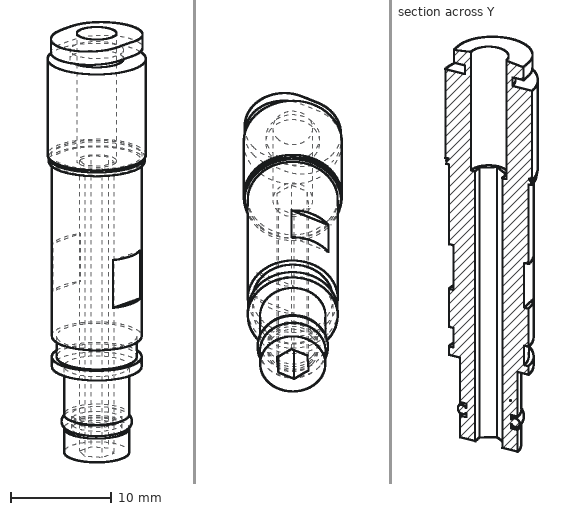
import cadquery as cq

TOTAL_HEIGHT = 43.95
SEAL_GROOVE_BOTTOM = 2.5
SEAL_GROOVE_TOP = 3.95
COLLAR_BOTTOM = 9.0
COLLAR_TOP = 10.0
BODY_BOTTOM = 12.17
FLAT_BOTTOM = 16.53
FLAT_TOP = 21.55
RING_BOTTOM = 30.55
SLEEVE_BOTTOM = 31.2
SLEEVE_TOP = 41.25
CAP_BOTTOM = 42.2

STEM_RADIUS = 3.25
SEAL_GROOVE_RADIUS = 2.5
SEAL_OUTER_RADIUS = 3.5
SEAL_SECTION_RADIUS = 0.53
BODY_RADIUS = 4.5
BODY_GROOVE_RADIUS = 4.0
RING_RADIUS = 4.8
RING_CHAMFER = 0.25
SLEEVE_DIAMETER = 9.8
SLEEVE_RADIUS = SLEEVE_DIAMETER / 2
NECK_RADIUS = 2.7

FLAT_TO_AXIS = 4.0
CAP_HALF_WIDTH = 3.9
CAP_END_OFFSET = SLEEVE_RADIUS - CAP_HALF_WIDTH
CAP_CONE_DROP = 0.4
BORE_RADIUS = 1.98
BORE_FLOOR = RING_BOTTOM
HEX_ACROSS_FLATS = 3.05


def cylinder(radius, bottom, top):
    """Solid cylinder on the Z axis between two levels."""
    return cq.Workplane("XY").workplane(offset=bottom).circle(radius).extrude(top - bottom)


def make_stepped_body():
    """Stem, collar, barrel, chamfered ring, sleeve and neck stacked on one axis."""
    sections = [
        (STEM_RADIUS, 0, SEAL_GROOVE_BOTTOM),
        (SEAL_GROOVE_RADIUS, SEAL_GROOVE_BOTTOM, SEAL_GROOVE_TOP),
        (STEM_RADIUS, SEAL_GROOVE_TOP, COLLAR_BOTTOM),
        (BODY_RADIUS, COLLAR_BOTTOM, COLLAR_TOP),
        (BODY_GROOVE_RADIUS, COLLAR_TOP, BODY_BOTTOM),
        (BODY_RADIUS, BODY_BOTTOM, RING_BOTTOM),
        (SLEEVE_RADIUS, SLEEVE_BOTTOM, SLEEVE_TOP),
        (NECK_RADIUS, SLEEVE_TOP, CAP_BOTTOM),
    ]
    body = cylinder(RING_RADIUS, RING_BOTTOM, SLEEVE_BOTTOM).faces(">Z").edges().chamfer(RING_CHAMFER)
    for radius, bottom, top in sections:
        body = body.union(cylinder(radius, bottom, top))
    return body


def make_seal():
    """O-ring seated in the middle of the stem groove."""
    center_radius = SEAL_OUTER_RADIUS - SEAL_SECTION_RADIUS
    center_height = (SEAL_GROOVE_BOTTOM + SEAL_GROOVE_TOP) / 2
    torus = cq.Solid.makeTorus(center_radius, SEAL_SECTION_RADIUS, cq.Vector(0, 0, center_height))
    return cq.Workplane("XY").add(torus)


def make_cap():
    """Slot-shaped cap, long along Y, with a shallow conical top around the bore."""
    slot_length = 2 * (CAP_END_OFFSET + CAP_HALF_WIDTH)
    blank = (
        cq.Workplane("XY")
        .workplane(offset=CAP_BOTTOM)
        .slot2D(slot_length, 2 * CAP_HALF_WIDTH, 90)
        .extrude(TOTAL_HEIGHT - CAP_BOTTOM)
    )
    cone_envelope = (
        cq.Workplane("XZ")
        .moveTo(0, CAP_BOTTOM)
        .lineTo(SLEEVE_RADIUS, CAP_BOTTOM)
        .lineTo(SLEEVE_RADIUS, TOTAL_HEIGHT - CAP_CONE_DROP)
        .lineTo(BORE_RADIUS, TOTAL_HEIGHT)
        .lineTo(0, TOTAL_HEIGHT)
        .close()
        .revolve(360, (0, 0, 0), (0, 1, 0))
    )
    return blank.intersect(cone_envelope)


def make_flat_cutter(side):
    """Block that leaves one wrench flat on the +X (1) or -X (-1) side."""
    depth = BODY_RADIUS - FLAT_TO_AXIS
    return cq.Workplane("XY").box(depth, 2 * BODY_RADIUS, FLAT_TOP - FLAT_BOTTOM).translate(
        (side * (FLAT_TO_AXIS + depth / 2), 0, (FLAT_BOTTOM + FLAT_TOP) / 2)
    )


def make_bore():
    """Round bore from the top, continuing to the bottom as a hexagon with corners on Y."""
    hexagon = (
        cq.Workplane("XY")
        .polygon(6, HEX_ACROSS_FLATS, circumscribed=True)
        .extrude(BORE_FLOOR)
    )
    return hexagon.union(cylinder(BORE_RADIUS, BORE_FLOOR, TOTAL_HEIGHT))


result = make_stepped_body().union(make_seal()).union(make_cap())
for flat_side in (-1, 1):
    result = result.cut(make_flat_cutter(flat_side))
result = result.cut(make_bore())